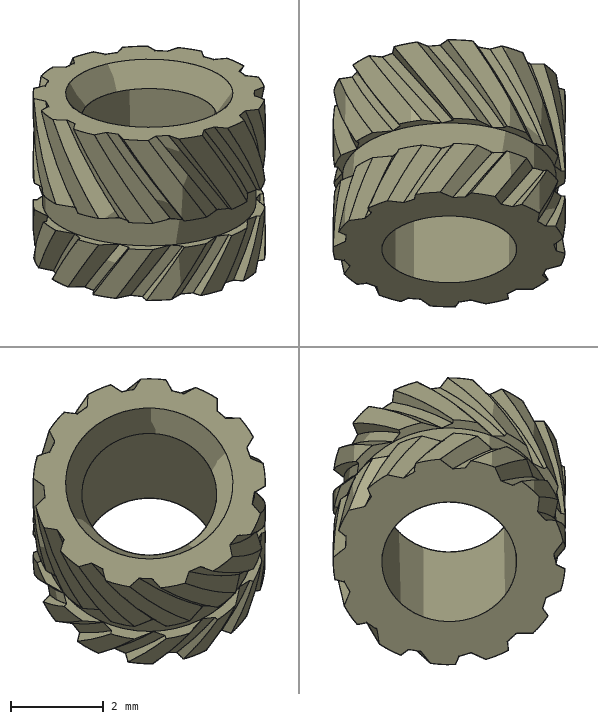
import cadquery as cq
import math

outer_radius = 2.5
neck_radius = 2.3
bore_radius = 1.45
countersink_radius = 1.8
countersink_depth = 0.535

total_height = 3.77
lower_band_height = 1.2
neck_height = 0.62
upper_band_base = lower_band_height + neck_height
upper_band_height = total_height - upper_band_base

groove_count = 13
groove_floor_radius = 2.265
groove_floor_width = 0.27
groove_mouth_width = 0.665
helix_radius = 3.25
helix_pitch = 28.25
groove_margin = 0.2
top_groove_angle = 90.0


def cylinder(radius, base_height, height):
    return cq.Workplane("XY").workplane(offset=base_height).circle(radius).extrude(height)


def groove_cutter():
    """Trapezoid swept up a helix from height 0, starting on the +X side.

    The sweep is not a Frenet one, so the trapezoid leans over steadily along the helix
    and the grooves become lopsided towards the neck.
    """
    mouth_half_width = groove_mouth_width / 2
    floor_half_width = groove_floor_width / 2
    mouth_radius = math.sqrt(outer_radius ** 2 - mouth_half_width ** 2)
    flank_spread = (mouth_half_width - floor_half_width) / (mouth_radius - groove_floor_radius)
    rim_radius = outer_radius + groove_margin
    rim_half_width = floor_half_width + flank_spread * (rim_radius - groove_floor_radius)

    helix = cq.Wire.makeHelix(helix_pitch, upper_band_height + 2 * groove_margin, helix_radius)
    return (
        cq.Workplane("XY")
        .polyline([
            (rim_radius, -rim_half_width),
            (groove_floor_radius, -floor_half_width),
            (groove_floor_radius, floor_half_width),
            (rim_radius, rim_half_width),
        ])
        .close()
        .sweep(cq.Workplane(helix), isFrenet=False)
    )


def cut_grooves(band, cutter):
    for index in range(groove_count):
        angle = top_groove_angle + index * 360 / groove_count
        band = band.cut(cutter.rotate((0, 0, 0), (0, 0, 1), angle))
    return band


def countersunk_bore():
    """Straight bore that opens out in a cone at the top face."""
    cone_start = total_height - countersink_depth
    return (
        cq.Workplane("XZ")
        .polyline([
            (0, 0),
            (bore_radius, 0),
            (bore_radius, cone_start),
            (countersink_radius, total_height),
            (0, total_height),
        ])
        .close()
        .revolve(360, (0, 0), (0, 1))
    )


rising_cutter = groove_cutter()
lower_cutter = rising_cutter.translate((0, 0, lower_band_height - upper_band_height))
upper_cutter = rising_cutter.mirror("XY").translate((0, 0, total_height))

lower_band = cut_grooves(cylinder(outer_radius, 0, lower_band_height), lower_cutter)
upper_band = cut_grooves(cylinder(outer_radius, upper_band_base, upper_band_height), upper_cutter)
neck = cylinder(neck_radius, lower_band_height, neck_height)

result = lower_band.union(neck).union(upper_band).cut(countersunk_bore())